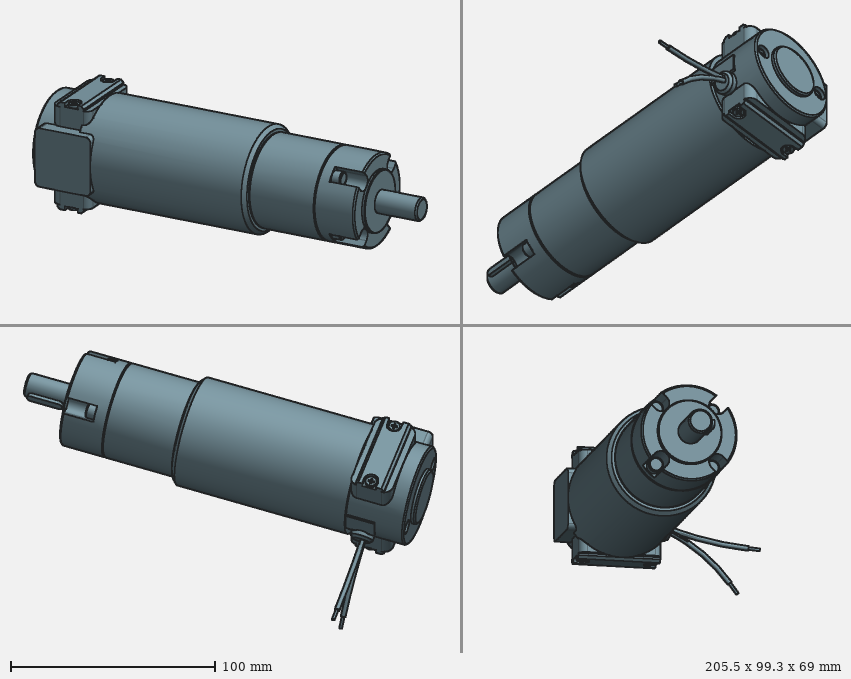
import cadquery as cq


rear_disc_radius = 14.0
cap_start = 2.3
cap_radius = 25.0
motor_start = 31.9
motor_end = 121.9
motor_radius = 27.5
motor_edge = 2.0
gearbox_radius = 24.0
gearbox_groove_at = 158.0
gearbox_groove_width = 0.6
gearbox_groove_depth = 0.5
gearbox_end = 180.6
pilot_end = 182.3
pilot_radius = 16.0
shaft_end = 205.5
shaft_radius = 6.0
small_edge = 0.8

key_start = 184.7
key_end = 203.0
key_width = 4.1
key_base = 4.1
key_top = 7.6

holder_center_x = 21.2
holder_length = 21.2
holder_width = 41.0
holder_height = 25.7
holder_rear_corner = 4.5
holder_front_corner = 3.5
cover_length = 14.8
cover_top = 28.2
cover_chamfer = 1.5
cover_screw_x = 21.5
cover_screw_spacing = 34.7
cover_screw_depth = 2.0
cover_head_recess = 0.6
cross_length = 2.9
cross_width = 0.6

block_start = 5.1
block_end = 36.0
block_height = 30.8
block_corner = 2.7
ledge_start = 27.5
ledge_inner_face = 16.5

screw_hole_diameter = 7.2
screw_head_diameter = 5.5
screw_slot_depth = 0.6

cap_screw_spacing = 39.0
cap_screw_depth = 2.5
cap_head_recess = 1.6
cap_screw_slot_width = 0.5

nose_slot_start = 164.6
nose_slot_width = 8.2
mouth_clearance = 2.0
nose_screw_circle = 20.0
nose_head_diameter = 7.5
nose_head_length = 5.0
nose_head_chamfer = 0.6

pad_start = 17.0
pad_face = 25.7
pad_base = 18.5
pad_bottom = -6.2
pad_top = 4.1
grommet_x = 23.6
grommet_tilt = 23.0
grommet_diameter = 11.5
grommet_inner_reach = 20.5
grommet_outer_reach = 29.2
grommet_chamfer = 1.5

lead_x = 22.5
sleeve_diameter = 2.5
conductor_diameter = 1.5
upper_lead = [(25.5, -9.2), (46.5, -14.8), (66.0, -17.3)]
lower_lead = [(25.5, -10.7), (42.3, -20.8), (56.7, -35.3)]
upper_conductor_length = 5.8
lower_conductor_length = 6.4


def rod(start, end, radius):
    """Cylinder on the shaft axis between two X positions."""
    return cq.Workplane("YZ").workplane(offset=start).circle(radius).extrude(end - start)


def box(x_range, y_range, z_range):
    """Axis-aligned block given by its limits."""
    limits = (x_range, y_range, z_range)
    sizes = [high - low for low, high in limits]
    return cq.Workplane("XY").box(*sizes, centered=False).translate(tuple(low for low, _ in limits))


def turned_bodies():
    rear_disc = rod(0, cap_start, rear_disc_radius).faces("<X").chamfer(small_edge)
    cap = rod(cap_start, motor_start, cap_radius).faces("<X").chamfer(small_edge)
    motor = rod(motor_start, motor_end, motor_radius).faces(">X").chamfer(motor_edge)
    gearbox = rod(motor_end, gearbox_end, gearbox_radius).faces(">X").chamfer(small_edge)
    for start in (motor_end, gearbox_groove_at):
        end = start + gearbox_groove_width
        core = rod(start, end, gearbox_radius - gearbox_groove_depth)
        gearbox = gearbox.cut(rod(start, end, gearbox_radius).cut(core))
    pilot = rod(gearbox_end, pilot_end, pilot_radius).faces(">X").chamfer(small_edge / 2)
    shaft = rod(pilot_end, shaft_end, shaft_radius).faces(">X").chamfer(small_edge)
    return rear_disc.union(cap).union(motor).union(gearbox).union(pilot).union(shaft)


def shaft_key():
    return (
        cq.Workplane("XZ", origin=((key_start + key_end) / 2, key_base, 0))
        .slot2D(key_end - key_start, key_width)
        .extrude(key_base - key_top)
    )


def brush_holder():
    """Upper brush holder, reaching from the shaft axis to its screwed cover."""
    holder = (
        cq.Workplane("XY", origin=(holder_center_x, 0, 0))
        .rect(holder_length, holder_width)
        .extrude(holder_height)
        .edges("|Z and <X")
        .fillet(holder_rear_corner)
        .edges("|Z and >X")
        .fillet(holder_front_corner)
    )
    cover = (
        cq.Workplane("XY", origin=(holder_center_x, 0, holder_height))
        .rect(cover_length, holder_width)
        .extrude(cover_top - holder_height)
        .edges("|Y and >Z")
        .chamfer(cover_chamfer)
    )
    holder = holder.union(cover)
    for side in (-1, 1):
        y = side * cover_screw_spacing / 2
        floor = cq.Workplane("XY", origin=(cover_screw_x, y, cover_top - cover_screw_depth))
        hole = floor.circle(screw_hole_diameter / 2).extrude(cover_screw_depth)
        mouth = (
            floor.center(0, side * screw_hole_diameter / 2)
            .rect(screw_hole_diameter, screw_hole_diameter)
            .extrude(cover_screw_depth)
        )
        head = floor.circle(screw_head_diameter / 2).extrude(cover_screw_depth - cover_head_recess)
        head_top = head.faces(">Z").workplane()
        for length, width in ((cross_length, cross_width), (cross_width, cross_length)):
            head = head.cut(head_top.rect(length, width).extrude(-screw_slot_depth, combine=False))
        holder = holder.cut(hole).cut(mouth).union(head)
    return holder


def terminal_block():
    half_height = block_height / 2
    block = box((block_start, block_end), (-motor_radius, 0), (-half_height, half_height))
    return block.edges("|Y").fillet(block_corner)


def motor_ledge():
    """Segment of the motor outline carried rearwards behind the terminal block."""
    window = (-motor_radius, motor_radius)
    segment = box((ledge_start, motor_start), (-motor_radius, -ledge_inner_face), window)
    return rod(ledge_start, motor_start, motor_radius).intersect(segment)


def cable_outlet():
    pad = box((pad_start, motor_start), (pad_base, pad_face), (pad_bottom, pad_top))
    grommet = (
        cq.Workplane("XZ", origin=(grommet_x, grommet_inner_reach, 0))
        .circle(grommet_diameter / 2)
        .extrude(grommet_inner_reach - grommet_outer_reach)
        .faces(">Y")
        .chamfer(grommet_chamfer)
        .rotate((0, 0, 0), (1, 0, 0), -grommet_tilt)
    )
    return pad.union(grommet)


def lead(points, conductor_length):
    """Sleeve swept along an arc, with the bare conductor leaving along the end tangent."""
    start, middle, end = (cq.Vector(lead_x, y, z) for y, z in points)
    arc = cq.Edge.makeThreePointArc(start, middle, end)
    sleeve = (
        cq.Workplane(cq.Plane(start, xDir=(1, 0, 0), normal=arc.tangentAt(0)))
        .circle(sleeve_diameter / 2)
        .sweep(cq.Workplane(cq.Wire.assembleEdges([arc])))
    )
    conductor = cq.Solid.makeCylinder(conductor_diameter / 2, conductor_length, end, arc.tangentAt(1))
    return sleeve.union(cq.Workplane(conductor))


def fit_cap_screws(body):
    """Recessed slotted screws either side of the rear disc."""
    for y in (-cap_screw_spacing / 2, cap_screw_spacing / 2):
        face = cq.Workplane("YZ", origin=(cap_start, y, 0))
        hole = face.circle(screw_hole_diameter / 2).extrude(cap_screw_depth)
        head_face = face.workplane(offset=cap_head_recess)
        head = head_face.circle(screw_head_diameter / 2).extrude(cap_screw_depth - cap_head_recess)
        slot = head_face.rect(screw_head_diameter, cap_screw_slot_width).extrude(screw_slot_depth)
        body = body.cut(hole).union(head.cut(slot))
    return body


def fit_nose_screws(body):
    """Four round-bottomed slots, open outward and forward, each holding a screw head."""
    for angle in (45, 135, 225, 315):
        start = cq.Workplane("YZ", origin=(nose_slot_start, 0, 0))
        length = gearbox_end - nose_slot_start
        bottom = start.center(nose_screw_circle, 0).circle(nose_slot_width / 2).extrude(length)
        mouth = box(
            (nose_slot_start, gearbox_end),
            (nose_screw_circle, gearbox_radius + mouth_clearance),
            (-nose_slot_width / 2, nose_slot_width / 2),
        )
        head = start.center(nose_screw_circle, 0).circle(nose_head_diameter / 2).extrude(nose_head_length)
        head = head.faces(">X").chamfer(nose_head_chamfer)
        slot = bottom.union(mouth).rotate((0, 0, 0), (1, 0, 0), angle)
        body = body.cut(slot).union(head.rotate((0, 0, 0), (1, 0, 0), angle))
    return body


body = turned_bodies().union(terminal_block()).union(motor_ledge())
holder = brush_holder()
body = body.union(holder).union(holder.mirror("XY"))
body = fit_nose_screws(fit_cap_screws(body))
body = body.union(shaft_key()).union(cable_outlet())
body = body.union(lead(upper_lead, upper_conductor_length))
result = body.union(lead(lower_lead, lower_conductor_length))